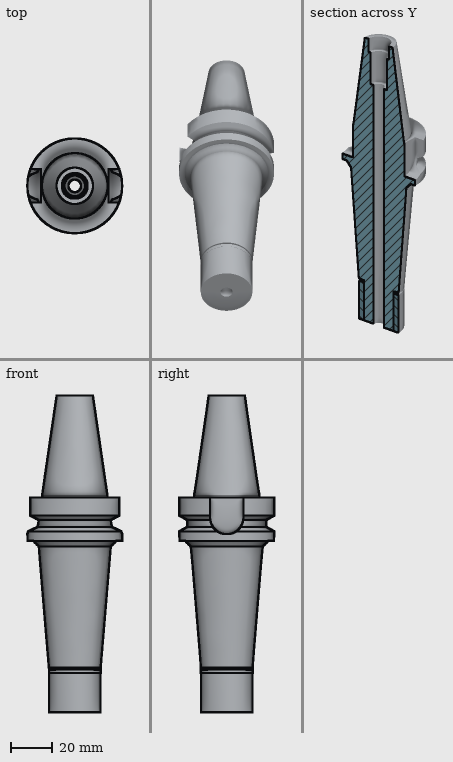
import cadquery as cq
import math

GAUGE_Z = 105.0
TAPER_LENGTH = 48.4
FLANGE_TOP_Z = GAUGE_Z - 1.0
FLANGE_BOTTOM_Z = GAUGE_Z - 22.0
TOP_Z = GAUGE_Z + TAPER_LENGTH

TAPER_LARGE_RADIUS = 31.75 / 2
TAPER_SMALL_RADIUS = TAPER_LARGE_RADIUS - TAPER_LENGTH * 7 / 24 / 2

FLANGE_RADIUS = 23.0
GROOVE_Z = GAUGE_Z - 13.6
GROOVE_FLOOR_RADIUS = 19.25
GROOVE_FLOOR_HALF_WIDTH = 1.65
GROOVE_FLANK_ANGLE = 30.0
GROOVE_HALF_WIDTH = GROOVE_FLOOR_HALF_WIDTH + (
    FLANGE_RADIUS - GROOVE_FLOOR_RADIUS
) * math.tan(math.radians(GROOVE_FLANK_ANGLE))

SLOT_WIDTH = 16.1
SLOT_FLOOR_X = 16.3
SLOT_BOTTOM_Z = 86.2

COLLAR_RADIUS = 20.2
COLLAR_HEIGHT = 2.7
SHANK_TOP_RADIUS = COLLAR_RADIUS - COLLAR_HEIGHT
SHANK_BOTTOM_RADIUS = 12.6
SHANK_BOTTOM_Z = 21.6
NECK_RADIUS = 9.5

COUNTERBORE_RADIUS = 6.25
COUNTERBORE_DEPTH = 7.0
THREAD_BORE_RADIUS = 5.0
THREAD_BORE_DEPTH = 24.0
THREAD_CHAMFER = 0.25
COOLANT_RADIUS = 3.0

NUT_RADIUS = 12.5
NUT_HEIGHT = 20.7
NUT_RIM_RADIUS = 12.6
NUT_RIM_HEIGHT = 1.8


def make_holder_blank():
    """Turned outline of the holder, revolved about Z."""
    outline = [
        (0, 0),
        (NECK_RADIUS, 0),
        (NECK_RADIUS, SHANK_BOTTOM_Z),
        (SHANK_BOTTOM_RADIUS, SHANK_BOTTOM_Z),
        (SHANK_TOP_RADIUS, FLANGE_BOTTOM_Z - COLLAR_HEIGHT),
        (COLLAR_RADIUS, FLANGE_BOTTOM_Z),
        (FLANGE_RADIUS, FLANGE_BOTTOM_Z),
        (FLANGE_RADIUS, GROOVE_Z - GROOVE_HALF_WIDTH),
        (GROOVE_FLOOR_RADIUS, GROOVE_Z - GROOVE_FLOOR_HALF_WIDTH),
        (GROOVE_FLOOR_RADIUS, GROOVE_Z + GROOVE_FLOOR_HALF_WIDTH),
        (FLANGE_RADIUS, GROOVE_Z + GROOVE_HALF_WIDTH),
        (FLANGE_RADIUS, FLANGE_TOP_Z),
        (TAPER_LARGE_RADIUS, FLANGE_TOP_Z),
        (TAPER_LARGE_RADIUS, GAUGE_Z),
        (TAPER_SMALL_RADIUS, TOP_Z),
        (0, TOP_Z),
    ]
    return cq.Workplane("XZ").polyline(outline).close().revolve(360, (0, 0), (0, 1))


def make_bore():
    """Counterbore, chamfered thread bore and coolant hole as one cutter."""
    ledge_z = TOP_Z - COUNTERBORE_DEPTH
    thread_floor_z = TOP_Z - THREAD_BORE_DEPTH
    outline = [
        (0, 0),
        (COOLANT_RADIUS, 0),
        (COOLANT_RADIUS, thread_floor_z),
        (THREAD_BORE_RADIUS, thread_floor_z),
        (THREAD_BORE_RADIUS, ledge_z - THREAD_CHAMFER),
        (THREAD_BORE_RADIUS + THREAD_CHAMFER, ledge_z),
        (COUNTERBORE_RADIUS, ledge_z),
        (COUNTERBORE_RADIUS, TOP_Z),
        (0, TOP_Z),
    ]
    return cq.Workplane("XZ").polyline(outline).close().revolve(360, (0, 0), (0, 1))


def make_drive_slot(side):
    """Cutter for a round-bottomed slot on the +X (side = 1) or -X (side = -1) flank."""
    half_width = SLOT_WIDTH / 2
    arc_center_z = SLOT_BOTTOM_Z + half_width
    return (
        cq.Workplane("YZ", origin=(side * SLOT_FLOOR_X, 0, 0))
        .moveTo(-half_width, FLANGE_TOP_Z)
        .lineTo(-half_width, arc_center_z)
        .threePointArc((0, SLOT_BOTTOM_Z), (half_width, arc_center_z))
        .lineTo(half_width, FLANGE_TOP_Z)
        .close()
        .extrude(side * FLANGE_RADIUS)
    )


def make_holder():
    """Holder body with its bore and both drive slots."""
    body = make_holder_blank().cut(make_bore())
    for side in (-1, 1):
        body = body.cut(make_drive_slot(side))
    return body


def make_nut():
    """Round nut with a raised rim, a sleeve fitted over the neck."""
    rim_z = NUT_HEIGHT - NUT_RIM_HEIGHT
    sleeve = cq.Workplane("XY").circle(NUT_RADIUS).extrude(NUT_HEIGHT)
    rim = cq.Workplane("XY", origin=(0, 0, rim_z)).circle(NUT_RIM_RADIUS).extrude(NUT_RIM_HEIGHT)
    neck_bore = cq.Workplane("XY").circle(NECK_RADIUS).extrude(NUT_HEIGHT)
    return sleeve.union(rim).cut(neck_bore)


holder = make_holder()
nut = make_nut()

result = cq.Compound.makeCompound([holder.val(), nut.val()])